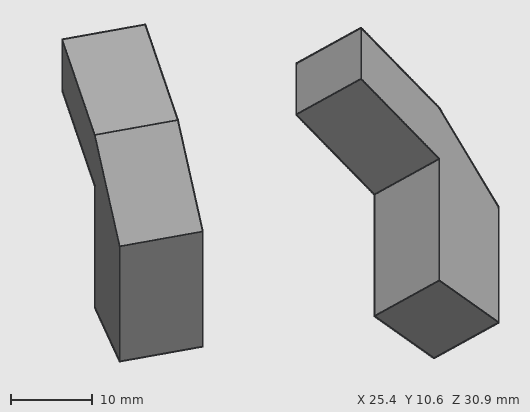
import cadquery as cq
import math

length = 25.45
depth = 10.58
height = 30.85

leg_width = 11.0
arm_thickness = 8.0
arm_slope = 15.0
shoulder_height = 18.0

arm_length = length - leg_width
arm_drop = arm_length * math.tan(math.radians(arm_slope))

profile = [
    (arm_length, 0),
    (length, 0),
    (length, shoulder_height),
    (arm_length, height - arm_drop),
    (0, height),
    (0, height - arm_thickness),
    (arm_length, height - arm_thickness - arm_drop),
]

result = cq.Workplane("XZ").polyline(profile).close().extrude(depth / 2, both=True)